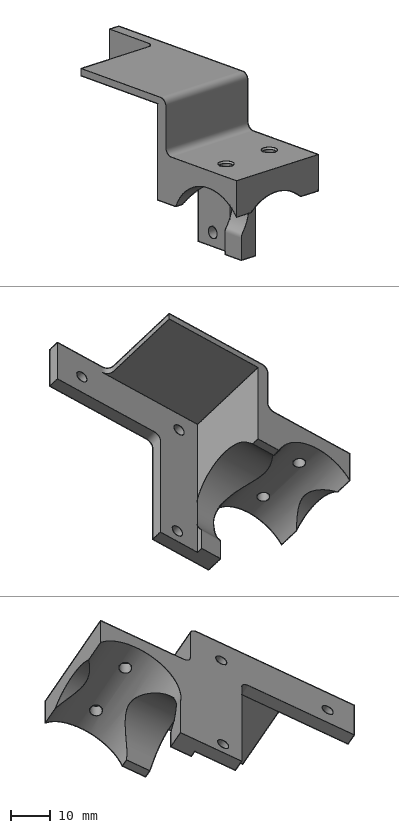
import cadquery as cq
import math

LENGTH = 73.68
DEPTH = 28.45
HEIGHT = 48.4

PLATE_THICKNESS = 3.25
ARM_HEIGHT = 13.25
LEG_LEFT_X = 32.7
CORNER_RADIUS = 2.0

COVER_LEFT_X = 16.3
COVER_THICKNESS = 2.0
WALL_INNER_X = 44.5
WALL_OUTER_X = 47.65
WALL_BASE_X = 50.5
WALL_BOTTOM_Z = 20.5
LEDGE_TOP_Z = 33.4

SADDLE_RADIUS = 13.0
SADDLE_CENTER_X = 63.35
SADDLE_CENTER_Z = 15.7

ARCH_RADIUS = 12.5
ARCH_CENTER_Y = -14.75
ARCH_CENTER_Z = 14.5
FLANK_ANGLE = math.radians(43)
FOOT_FRONT_Y = -5.0
FOOT_BLEND_RADIUS = 2.0

HOLE_DIAMETER = 3.2
PLATE_HOLES = [(7.75, 40.75), (38.65, 40.75), (38.1, 3.8)]
LEDGE_HOLE_X = 62.7
LEDGE_HOLE_SPACING = 15.0
LEDGE_HOLE_MIDDLE_Y = -14.25
LEDGE_HOLE_CHAMFER = 0.45


def make_plate():
    arm_bottom_z = HEIGHT - ARM_HEIGHT
    outline = (
        cq.Workplane("XZ")
        .moveTo(0, HEIGHT)
        .lineTo(WALL_INNER_X, HEIGHT)
        .lineTo(WALL_INNER_X, 0)
        .lineTo(LEG_LEFT_X, 0)
        .lineTo(LEG_LEFT_X, arm_bottom_z - CORNER_RADIUS)
        .radiusArc((LEG_LEFT_X - CORNER_RADIUS, arm_bottom_z), -CORNER_RADIUS)
        .lineTo(0, arm_bottom_z)
        .close()
    )
    return outline.extrude(PLATE_THICKNESS)


def make_cover_and_ledge():
    """Stepped section of cover, wall and ledge, with the saddle cut under the ledge."""
    section = (
        cq.Workplane("XZ")
        .moveTo(COVER_LEFT_X, HEIGHT)
        .lineTo(WALL_OUTER_X - CORNER_RADIUS, HEIGHT)
        .radiusArc((WALL_OUTER_X, HEIGHT - CORNER_RADIUS), CORNER_RADIUS)
        .lineTo(WALL_OUTER_X, LEDGE_TOP_Z + CORNER_RADIUS)
        .radiusArc((WALL_OUTER_X + CORNER_RADIUS, LEDGE_TOP_Z), -CORNER_RADIUS)
        .lineTo(LENGTH, LEDGE_TOP_Z)
        .lineTo(LENGTH, SADDLE_CENTER_Z)
        .lineTo(WALL_BASE_X, SADDLE_CENTER_Z)
        .lineTo(WALL_BASE_X, 0)
        .lineTo(WALL_INNER_X, 0)
        .lineTo(WALL_INNER_X, HEIGHT - COVER_THICKNESS)
        .lineTo(COVER_LEFT_X, HEIGHT - COVER_THICKNESS)
        .close()
        .extrude(DEPTH)
    )
    saddle = (
        cq.Workplane("XZ")
        .center(SADDLE_CENTER_X, SADDLE_CENTER_Z)
        .circle(SADDLE_RADIUS)
        .extrude(DEPTH)
    )
    return section.cut(saddle)


def make_cover_corner():
    """Inside corner blend between the plate front and the left edge of the cover."""
    corner = (
        cq.Workplane("XY", origin=(0, 0, HEIGHT - COVER_THICKNESS))
        .moveTo(COVER_LEFT_X - CORNER_RADIUS, -PLATE_THICKNESS)
        .radiusArc((COVER_LEFT_X, -PLATE_THICKNESS - CORNER_RADIUS), CORNER_RADIUS)
        .lineTo(COVER_LEFT_X, -PLATE_THICKNESS)
        .close()
    )
    return corner.extrude(COVER_THICKNESS)


def arch_point(angle):
    return (
        ARCH_CENTER_Y + ARCH_RADIUS * math.cos(angle),
        ARCH_CENTER_Z + ARCH_RADIUS * math.sin(angle),
    )


def make_arch_cutter():
    """Space in front of the foot and under the wall, including the arch."""
    blend_center_y = FOOT_FRONT_Y + FOOT_BLEND_RADIUS
    center_distance = ARCH_RADIUS + FOOT_BLEND_RADIUS
    blend_angle = -math.acos((blend_center_y - ARCH_CENTER_Y) / center_distance)
    blend_center_z = ARCH_CENTER_Z + center_distance * math.sin(blend_angle)

    flank_top = arch_point(math.pi - FLANK_ANGLE)
    flank_drop = flank_top[1] - WALL_BOTTOM_Z
    flank_bottom_y = flank_top[0] - flank_drop * math.tan(FLANK_ANGLE)

    return (
        cq.Workplane("YZ", origin=(WALL_INNER_X, 0, 0))
        .moveTo(FOOT_FRONT_Y, 0)
        .lineTo(FOOT_FRONT_Y, blend_center_z)
        .radiusArc(arch_point(blend_angle), FOOT_BLEND_RADIUS)
        .threePointArc(arch_point(math.pi / 2), flank_top)
        .lineTo(flank_bottom_y, WALL_BOTTOM_Z)
        .lineTo(-DEPTH, WALL_BOTTOM_Z)
        .lineTo(-DEPTH, 0)
        .close()
        .extrude(LENGTH - WALL_INNER_X)
    )


def make_plate_holes():
    return (
        cq.Workplane("XZ")
        .pushPoints(PLATE_HOLES)
        .circle(HOLE_DIAMETER / 2)
        .extrude(PLATE_THICKNESS)
    )


def make_ledge_hole(y):
    """Vertical hole through the ledge with a 45 degree countersink at the top."""
    radius = HOLE_DIAMETER / 2
    half_section = (
        cq.Workplane("XZ", origin=(LEDGE_HOLE_X, y, 0))
        .moveTo(0, SADDLE_CENTER_Z)
        .lineTo(radius, SADDLE_CENTER_Z)
        .lineTo(radius, LEDGE_TOP_Z - LEDGE_HOLE_CHAMFER)
        .lineTo(radius + LEDGE_HOLE_CHAMFER, LEDGE_TOP_Z)
        .lineTo(0, LEDGE_TOP_Z)
        .close()
    )
    return half_section.revolve(360, (0, 0, 0), (0, 1, 0))


result = make_plate().union(make_cover_and_ledge()).union(make_cover_corner())
result = result.cut(make_arch_cutter())
result = result.cut(make_plate_holes())
for side in (-1, 1):
    result = result.cut(make_ledge_hole(LEDGE_HOLE_MIDDLE_Y + side * LEDGE_HOLE_SPACING / 2))